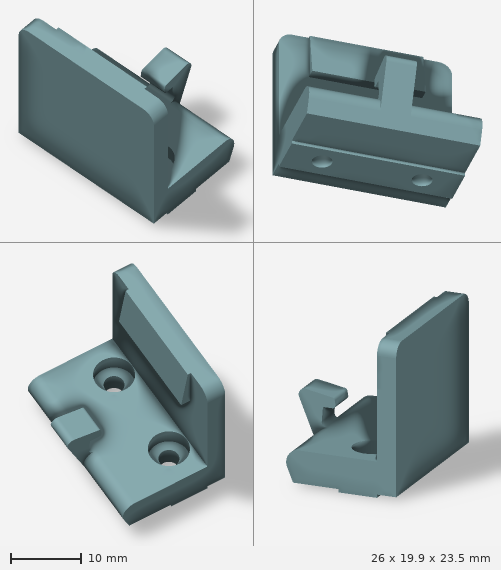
import cadquery as cq
import math

width = 26.0
plate_height = 23.0
plate_thickness = 3.0
plate_corner_radius = 2.0
base_height = 5.0
base_bottom_end = 16.07
base_edge_radius = 2.0
end_slope = math.tan(math.radians(22.4))

strip_depth = 0.5
strip_end = 9.0

lip_width = 17.0
lip_height = 6.86
lip_top_reach = 0.52
lip_bottom_reach = 1.65

hook_width = 4.55
hook_underside = 8.0
hook_tip_bottom = 14.01
hook_tip_top = 9.6
hook_slope = math.tan(math.radians(10))
hook_nose_radius = 1.0
hook_tip_radius = 0.5
neck_top = 16.07
neck_bottom = 16.33
neck_fillet_radius = 0.7

hole_diameter = 3.0
counterbore_diameter = 6.0
counterbore_depth = 2.5
hole_spacing = 15.0
hole_y = 6.05


def end_face_y(z):
    """Y of the sloping end face at height z."""
    return base_bottom_end + z * end_slope


def extrude_profile(points, length):
    """Extrude a closed YZ outline along X, centred on X = 0."""
    return cq.Workplane("YZ").polyline(points).close().extrude(length / 2, both=True)


def fillet_at(solid, y, z, radius):
    """Round the X-direction edge that passes through (y, z)."""
    reach = 0.03
    box = cq.selectors.BoxSelector((-width, y - reach, z - reach), (width, y + reach, z + reach))
    return solid.edges("|X").edges(box).fillet(radius)


def make_base():
    base = extrude_profile(
        [(0, 0), (base_bottom_end, 0), (end_face_y(base_height), base_height), (0, base_height)],
        width,
    )
    return fillet_at(base, end_face_y(base_height), base_height, base_edge_radius)


def make_plate():
    plate = cq.Workplane("XY").box(width, plate_thickness, plate_height, centered=(True, False, False))
    return plate.edges("|Y and >Z").fillet(plate_corner_radius)


def make_strip():
    strip = cq.Workplane("XY").box(
        width, strip_end - plate_thickness, strip_depth, centered=(True, False, False)
    )
    return strip.translate((0, plate_thickness, -strip_depth))


def make_lip():
    lip_bottom = plate_height - lip_height
    return extrude_profile(
        [
            (plate_thickness, lip_bottom),
            (plate_thickness + lip_bottom_reach, lip_bottom),
            (plate_thickness + lip_top_reach, plate_height),
            (plate_thickness, plate_height),
        ],
        lip_width,
    )


def make_hook():
    tip_top_y = hook_tip_bottom + (hook_tip_top - hook_underside) * hook_slope
    nose_z = (hook_tip_top + (base_bottom_end - tip_top_y) * hook_slope) / (1 - end_slope * hook_slope)
    nose_y = end_face_y(nose_z)
    foot_y = neck_bottom - 2 * neck_fillet_radius
    hook = extrude_profile(
        [
            (base_bottom_end, 0),
            (nose_y, nose_z),
            (tip_top_y, hook_tip_top),
            (hook_tip_bottom, hook_underside),
            (neck_top, hook_underside),
            (neck_bottom, base_height),
            (foot_y, base_height),
            (foot_y, 0),
        ],
        hook_width,
    )
    hook = fillet_at(hook, nose_y, nose_z, hook_nose_radius)
    hook = fillet_at(hook, tip_top_y, hook_tip_top, hook_tip_radius)
    hook = fillet_at(hook, hook_tip_bottom, hook_underside, hook_tip_radius)
    return fillet_at(hook, neck_bottom, base_height, neck_fillet_radius)


def cut_screw_holes(body):
    for x in (-hole_spacing / 2, hole_spacing / 2):
        hole = (
            cq.Workplane("XY", origin=(x, hole_y, -strip_depth))
            .circle(hole_diameter / 2)
            .extrude(strip_depth + base_height)
        )
        counterbore = (
            cq.Workplane("XY", origin=(x, hole_y, base_height - counterbore_depth))
            .circle(counterbore_diameter / 2)
            .extrude(counterbore_depth)
        )
        body = body.cut(hole).cut(counterbore)
    return body


body = make_base().union(make_plate()).union(make_strip()).union(make_lip()).union(make_hook())
result = cut_screw_holes(body)